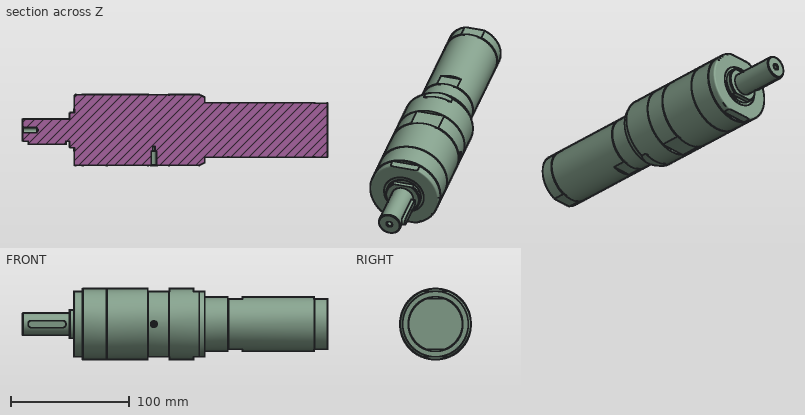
import cadquery as cq
import math


shaft_dia = 19.0
shaft_chamfer = 0.6
key_start_x = 4.8
key_length = 32.0
key_width = 6.0
key_top = 12.0

collar_x = 39.6
collar_dia = 29.95
collar_chamfer = 0.8
collar_flats = 24.0
seal_recess_dia = 35.0
seal_recess_depth = 0.3

housing_x = 43.5
housing_dia = 60.0
housing_flats = 55.0
housing_round = 1.4
front_flat_end_x = 50.6
front_joint_x = 71.0
middle_flat_x = 105.6
middle_flat_end_x = 123.8
rear_flat_x = 144.2
taper_x = 148.8
taper_end_dia = 55.18

body_x = 153.7
body_dia = 46.0
body_flats = 42.5
body_chamfer = 0.4
wrench_flat_x = 173.0
wrench_flat_end_x = 185.2
end_flat_x = 245.6
end_x = 257.0

groove_width = 0.6
groove_depth = 0.3

hole_dia = 4.13
hole_rim_dia = 5.5
hole_depth = 12.0
drill_point_angle = 118.0
port_x = 110.7
port_bore_dia = 1.55
port_bore_end = 16.0


def v_groove(x, radius):
    """Symmetrical groove centred on x."""
    half = groove_width / 2
    return [(x - half, radius), (x, radius - groove_depth), (x + half, radius)]


def groove_after(x, radius):
    """Groove with its square wall at x, sloping out towards +X."""
    return [(x, radius), (x, radius - groove_depth), (x + groove_width, radius)]


def groove_before(x, radius):
    """Groove sloping in from -X, with its square wall at x."""
    return [(x - groove_width, radius), (x, radius - groove_depth), (x, radius)]


def turn(profile):
    """Revolve a closed half profile about the X axis."""
    return profile.revolve(360, (0, 0, 0), (1, 0, 0))


def turned_body():
    """All round sections from shaft to rear body, with joint grooves."""
    shaft_r = shaft_dia / 2
    collar_r = collar_dia / 2
    housing_r = housing_dia / 2
    body_r = body_dia / 2
    front = [
        (0, 0),
        (0, shaft_r - shaft_chamfer),
        (shaft_chamfer, shaft_r),
        (collar_x, shaft_r),
        (collar_x, collar_r - collar_chamfer),
        (collar_x + collar_chamfer, collar_r),
        (housing_x + seal_recess_depth, collar_r),
        (housing_x + seal_recess_depth, seal_recess_dia / 2),
        (housing_x, seal_recess_dia / 2),
        (housing_x, housing_r - housing_round),
    ]
    rounded_corner_end = (housing_x + housing_round, housing_r)
    rear = [
        rounded_corner_end,
        *groove_after(front_flat_end_x, housing_r),
        *v_groove(front_joint_x, housing_r),
        *groove_after(middle_flat_x, housing_r),
        *groove_before(middle_flat_end_x, housing_r),
        (taper_x, housing_r),
        (body_x, taper_end_dia / 2),
        (body_x, body_r),
        *groove_after(wrench_flat_x, body_r),
        *groove_after(end_flat_x, body_r),
        (end_x - body_chamfer, body_r),
        (end_x, body_r - body_chamfer),
        (end_x, 0),
    ]
    profile = (
        cq.Workplane("XY")
        .polyline(front)
        .radiusArc(rounded_corner_end, housing_round)
        .polyline(rear, includeCurrent=False)
        .close()
    )
    return turn(profile)


def cut_flats(part, start_x, stop_x, across, diameter):
    """Mill two parallel flats on +Z and -Z between start_x and stop_x."""
    length = stop_x - start_x
    for side in (1, -1):
        cutter = cq.Workplane("XY").box(length, diameter, diameter).translate(
            ((start_x + stop_x) / 2, 0, side * (across + diameter) / 2)
        )
        part = part.cut(cutter)
    return part


def shaft_key():
    """Round-ended key standing out of the shaft on the -Y side."""
    return (
        cq.Workplane("XZ")
        .center(key_start_x + key_length / 2, 0)
        .slot2D(key_length, key_width)
        .extrude(key_top)
    )


def drilled_hole():
    """Hole along +X from the origin: 45 degree countersink, conical floor."""
    radius = hole_dia / 2
    rim_radius = hole_rim_dia / 2
    point_length = radius / math.tan(math.radians(drill_point_angle / 2))
    outline = [
        (0, 0),
        (0, rim_radius),
        (rim_radius - radius, radius),
        (hole_depth, radius),
        (hole_depth + point_length, 0),
    ]
    return turn(cq.Workplane("XY").polyline(outline).close())


def side_port():
    """Drilled hole entered from -Y, with a fine bore through its conical floor."""
    fine_bore = cq.Workplane("YZ").circle(port_bore_dia / 2).extrude(port_bore_end)
    port = drilled_hole().union(fine_bore)
    return port.rotate((0, 0, 0), (0, 0, 1), 90).translate((port_x, -housing_dia / 2, 0))


result = turned_body()
flats = [
    (collar_x, housing_x, collar_flats, collar_dia),
    (housing_x, front_flat_end_x, housing_flats, housing_dia),
    (middle_flat_x, middle_flat_end_x, housing_flats, housing_dia),
    (rear_flat_x, body_x, housing_flats, housing_dia),
    (wrench_flat_x, wrench_flat_end_x, body_flats, body_dia),
    (end_flat_x, end_x, body_flats, body_dia),
]
for start_x, stop_x, across, diameter in flats:
    result = cut_flats(result, start_x, stop_x, across, diameter)

result = result.union(shaft_key())
result = result.cut(drilled_hole())
result = result.cut(side_port())